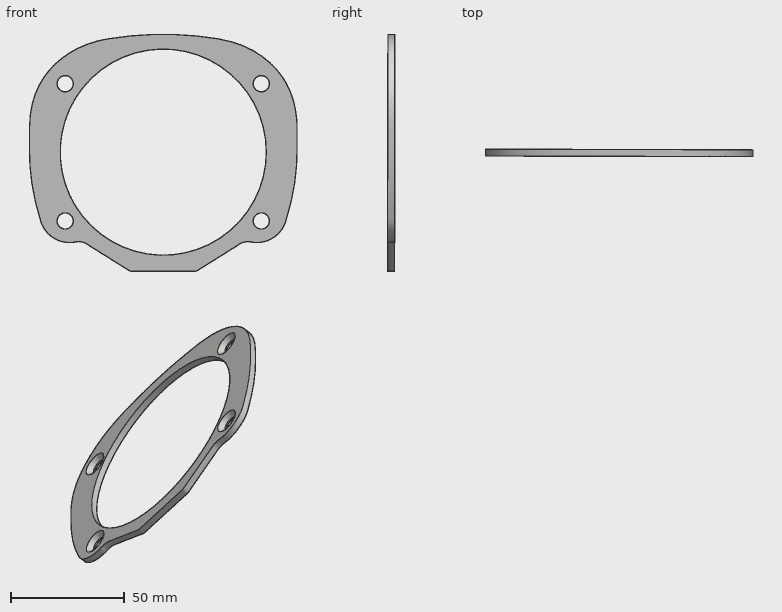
import cadquery as cq

thickness = 3.0
bore_radius = 45.15
half_width = 58.76
crown_height = 51.72
foot_depth = 52.34

tilt_about_x = -0.075
tilt_about_z = -0.128

bolt_hole_diameter = 7.0
bolt_spacing_x = 86.0
bolt_spacing_z = 60.2
bolt_pattern_z = -0.1
countersink_diameter = 11.5
countersink_angle = 90.0

crown_end = (24.0, 49.75)
shoulder_middle = (46.95, 39.05)
flank_top = (half_width, 9.84)
flank_bottom = (half_width, 2.05)
flank_middle = (57.45, -15.0)
ear_start = (54.1, -29.1)
ear_middle = (49.55, -36.65)
ear_end = (39.5, -39.65)
notch_middle = (35.5, -39.5)
notch_end = (32.6, -40.95)
foot_corner = (14.4, -foot_depth)
foot_corner_radius = 3.0

crown_end_direction = (0.987, -0.16)
flank_direction = (0.0, -1.0)


def mirrored(point):
    """Point reflected across the Z axis."""
    return (-point[0], point[1])


def reversed_mirror(direction):
    """Travel direction on the left half, which runs the outline backwards."""
    return (direction[0], -direction[1])


def make_plate():
    """Solid plate from y = 0 (rear face) to y = -thickness (front face)."""
    plate = (
        cq.Workplane("XZ")
        .moveTo(*mirrored(crown_end))
        .threePointArc((0, crown_height), crown_end)
        .spline(
            [shoulder_middle, flank_top],
            tangents=[crown_end_direction, flank_direction],
            includeCurrent=True,
        )
        .lineTo(*flank_bottom)
        .threePointArc(flank_middle, ear_start)
        .threePointArc(ear_middle, ear_end)
        .threePointArc(notch_middle, notch_end)
        .lineTo(*foot_corner)
        .lineTo(*mirrored(foot_corner))
        .lineTo(*mirrored(notch_end))
        .threePointArc(mirrored(notch_middle), mirrored(ear_end))
        .threePointArc(mirrored(ear_middle), mirrored(ear_start))
        .threePointArc(mirrored(flank_middle), mirrored(flank_bottom))
        .lineTo(*mirrored(flank_top))
        .spline(
            [mirrored(shoulder_middle), mirrored(crown_end)],
            tangents=[reversed_mirror(flank_direction), reversed_mirror(crown_end_direction)],
            includeCurrent=True,
        )
        .close()
        .extrude(thickness)
    )
    foot_edges = plate.faces("<Z").edges("|Y")
    return foot_edges.fillet(foot_corner_radius)


def drill_bolt_holes(plate):
    """Four through holes, countersunk from the rear face."""
    return (
        plate.faces(">Y")
        .workplane(origin=(0, 0, bolt_pattern_z))
        .rarray(bolt_spacing_x, bolt_spacing_z, 2, 2)
        .cskHole(bolt_hole_diameter, countersink_diameter, countersink_angle)
    )


bore = cq.Workplane("XZ").circle(bore_radius).extrude(thickness)
gasket = drill_bolt_holes(make_plate().cut(bore))

tilted_gasket = gasket.rotate((0, 0, 0), (1, 0, 0), tilt_about_x)
result = tilted_gasket.rotate((0, 0, 0), (0, 0, 1), tilt_about_z)